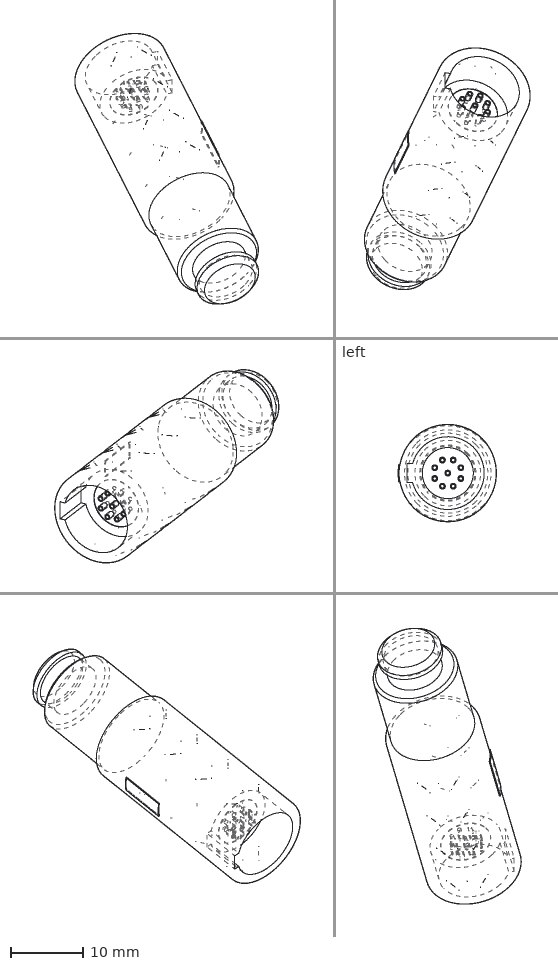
import cadquery as cq
import math


sleeve_radius = 6.75
sleeve_length = 28.2
sleeve_front_rounding = 0.5
sleeve_rear_rounding = 0.5

barrel_radius = 6.0
barrel_end = 40.1
barrel_chamfer = 0.45
neck_radius = 3.9
flange_radius = 4.55
flange_start = 42.9
flange_chamfer = 0.8
overall_length = 44.5

bore_radius = 5.05
bore_depth = 5.85
keyway_reach = 5.65
keyway_width = 2.6
insert_radius = 3.54
insert_height = 0.1
insert_face = bore_depth - insert_height

contact_radius = 0.4
contact_bore_radius = 0.25
contact_height = 1.15
contact_bore_depth = 2.0
contact_circle_radius = 1.96
contact_count = 8

dimple_depth = 0.19
dimple_half_width = 1.3
dimple_cutter_radius = (dimple_half_width**2 + dimple_depth**2) / (2 * dimple_depth)
dimple_cutter_length = 3.8
dimple_cutter_clearance = 0.1
dimple_pitch_angle = 26.0
dimple_band_count = 4
dimple_band_pitch = 6.5
first_band_front = 3.45
first_band_rear = 4.4
front_dimples = 3
rear_dimples = 4

pad_start = 14.7
pad_length = 6.9
pad_width = 2.4
pad_height = 0.15


def rod(radius, start, end):
    """Solid cylinder along X between two stations."""
    return cq.Workplane("YZ", origin=(start, 0, 0)).circle(radius).extrude(end - start)


def make_body():
    sleeve = rod(sleeve_radius, 0, sleeve_length)
    sleeve = sleeve.faces("<X").edges().fillet(sleeve_front_rounding)
    sleeve = sleeve.faces(">X").edges().fillet(sleeve_rear_rounding)
    barrel = rod(barrel_radius, 0, barrel_end).faces(">X").chamfer(barrel_chamfer)
    neck = rod(neck_radius, 0, flange_start)
    flange = rod(flange_radius, flange_start, overall_length).faces(">X").chamfer(flange_chamfer)
    return sleeve.union(barrel).union(neck).union(flange)


def make_pad():
    """Thin patch that follows the sleeve surface."""
    disc = rod(sleeve_radius + pad_height, pad_start, pad_start + pad_length)
    strip = cq.Workplane("XY").box(
        pad_length, sleeve_radius, pad_width, centered=(False, False, True)
    )
    strip = strip.translate((pad_start, bore_radius, 0))
    return disc.intersect(strip)


def make_socket():
    """Keyed bore, with the contact insert standing slightly proud of its floor."""
    bore = rod(bore_radius, 0, bore_depth)
    keyway = cq.Workplane("XY").box(
        bore_depth, keyway_reach, keyway_width, centered=(False, False, True)
    )
    insert = rod(insert_radius, insert_face, bore_depth)
    return bore.union(keyway).cut(insert)


def at_contacts(cylinder):
    """Copies of a cylinder at the centre and around the contact circle."""
    first = cylinder.translate((0, contact_circle_radius, 0))
    copies = cylinder
    for index in range(contact_count):
        angle = (index + 0.5) * 360 / contact_count
        copies = copies.union(first.rotate((0, 0, 0), (1, 0, 0), angle))
    return copies


def add_contacts(body):
    """Tubes standing on the insert, each with a blind hole."""
    tip = insert_face - contact_height
    tube = rod(contact_radius, tip, bore_depth)
    hole = rod(contact_bore_radius, tip, tip + contact_bore_depth)
    return body.union(at_contacts(tube)).cut(at_contacts(hole))


def make_dimple(station, angle):
    """Lens-shaped cutter dipping below the sleeve surface at an angle from +Z."""
    top = dimple_depth + dimple_cutter_clearance
    half_chord = math.sqrt(top * (2 * dimple_cutter_radius - top))
    return (
        cq.Workplane("XZ", origin=(station, dimple_cutter_length / 2, sleeve_radius))
        .moveTo(-half_chord, dimple_cutter_clearance)
        .threePointArc((0, -dimple_depth), (half_chord, dimple_cutter_clearance))
        .close()
        .extrude(dimple_cutter_length)
        .rotate((0, 0, 0), (1, 0, 0), angle)
    )


def make_dimple_row(station, count):
    """Dimples evenly spread about +Z and again about -Z."""
    angles = [(index - (count - 1) / 2) * dimple_pitch_angle for index in range(count)]
    return [make_dimple(station, side + angle).val() for side in (0, 180) for angle in angles]


def make_grip_cutters():
    cutters = []
    for band in range(dimple_band_count):
        shift = band * dimple_band_pitch
        cutters += make_dimple_row(first_band_front + shift, front_dimples)
        cutters += make_dimple_row(first_band_rear + shift, rear_dimples)
    return cutters


grip_body = cq.Workplane(make_body().val().cut(*make_grip_cutters()))
result = add_contacts(grip_body.union(make_pad()).cut(make_socket()))